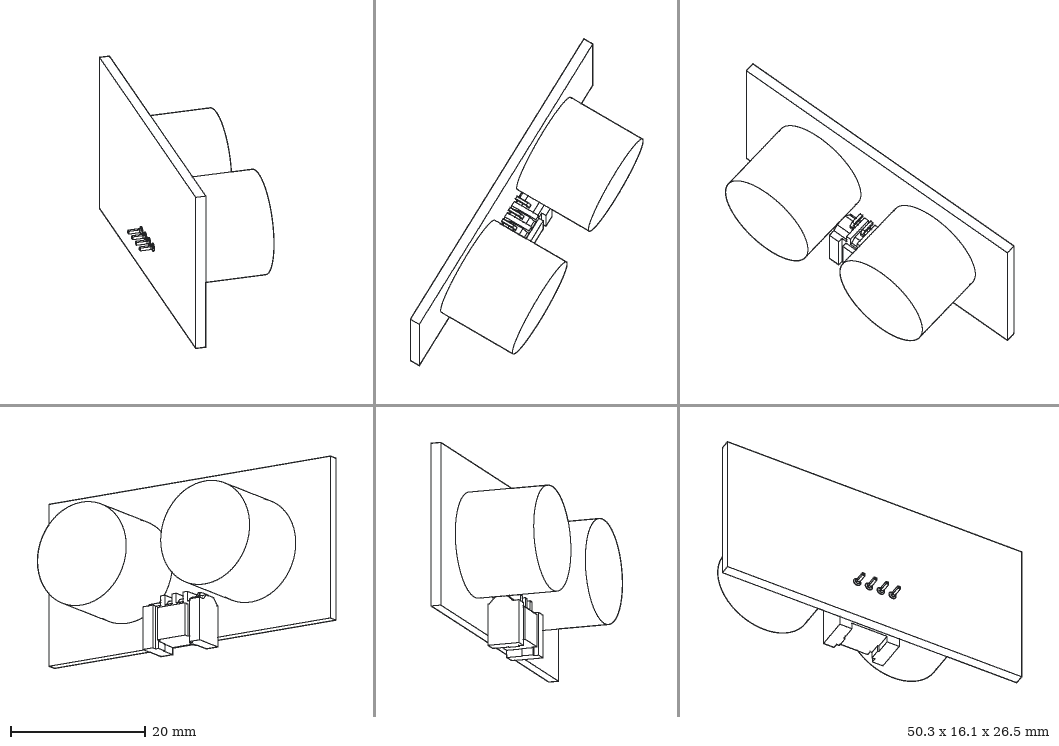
import cadquery as cq

BOARD_LENGTH = 50.3
BOARD_HEIGHT = 25.0
BOARD_THICKNESS = 1.55

CAN_DIAMETER = 15.9
CAN_LENGTH = 12.45
CAN_SPACING = 22.05

HOUSING_WIDTH = 10.15
HOUSING_DEPTH = 5.0
HOUSING_OVERHANG = 1.5
HOUSING_BOTTOM = -BOARD_HEIGHT / 2 - HOUSING_OVERHANG
HOUSING_HEIGHT = 7.35
HOUSING_TOP = HOUSING_BOTTOM + HOUSING_HEIGHT
REAR_LEDGE = 0.2
REAR_SLOPE = 1.0
FRONT_SLOPE = 0.75
FRONT_SLOPE_START = 3.15

RECESS_WIDTH = 6.55
RECESS_DEPTH = 0.75
LATCH_WIDTH = 5.0
LATCH_DROP = 1.25

NOTCH_HEIGHT = 1.1
NOTCH_WIDTH = 5.6
REAR_NOTCH_WIDTH = 6.0

PIN_COUNT = 4
PIN_PITCH = 2.0
PIN_SIZE = 0.45
PIN_Z = -5.95
PIN_TAIL = 2.15
PIN_TIP_CHAMFER = 0.1
PIN_REACH = 2.35
PIN_BEND_CHAMFER = 0.5
PIN_ROOT = 1.0
SOLDER_DIAMETER = 1.2
SOLDER_HEIGHT = 0.45
SOLDER_RIM = 0.1
SOLDER_WAIST = 0.75
SOLDER_WAIST_HEIGHT = 0.2
SOLDER_TIP = 0.5
RIB_WIDTH = 0.75
RIB_RISE = 0.7

PIN_XS = [(i - (PIN_COUNT - 1) / 2) * PIN_PITCH for i in range(PIN_COUNT)]
RIB_XS = [x + PIN_PITCH / 2 for x in PIN_XS[:-1]]


def block(width, y_min, y_max, z_min, z_max, x=0.0):
    """Box centred at x, between the given Y and Z limits."""
    size = (width, y_max - y_min, z_max - z_min)
    return cq.Workplane("XY").box(*size).translate((x, (y_min + y_max) / 2, (z_min + z_max) / 2))


def side_prism(points, width):
    """Prism of a (Y, Z) outline, centred on X."""
    return cq.Workplane("YZ").polyline(points).close().extrude(width / 2, both=True)


def make_sensor_board():
    """Board with both transducer cans and a hole for each pin."""
    board = block(BOARD_LENGTH, -BOARD_THICKNESS, 0, -BOARD_HEIGHT / 2, BOARD_HEIGHT / 2)
    for x in (-CAN_SPACING / 2, CAN_SPACING / 2):
        can = cq.Workplane("XZ", origin=(x, 0, 0)).circle(CAN_DIAMETER / 2).extrude(-CAN_LENGTH)
        board = board.union(can)
    for x in PIN_XS:
        board = board.cut(block(PIN_SIZE, -BOARD_THICKNESS, 0, PIN_Z - PIN_SIZE / 2, PIN_Z + PIN_SIZE / 2, x))
    return board


def make_housing():
    """Connector housing with its recess, latch, notch and ribs."""
    front_ledge_y = FRONT_SLOPE_START + FRONT_SLOPE
    front_ledge_z = HOUSING_TOP - FRONT_SLOPE
    rear_ledge_z = HOUSING_TOP - REAR_SLOPE
    recess_y = HOUSING_DEPTH - RECESS_DEPTH
    notch_top = HOUSING_BOTTOM + NOTCH_HEIGHT
    housing = side_prism(
        [
            (0, HOUSING_BOTTOM),
            (HOUSING_DEPTH, HOUSING_BOTTOM),
            (HOUSING_DEPTH, front_ledge_z),
            (front_ledge_y, front_ledge_z),
            (FRONT_SLOPE_START, HOUSING_TOP),
            (REAR_LEDGE + REAR_SLOPE, HOUSING_TOP),
            (REAR_LEDGE, rear_ledge_z),
            (0, rear_ledge_z),
        ],
        HOUSING_WIDTH,
    )
    housing = housing.cut(block(RECESS_WIDTH, recess_y, HOUSING_DEPTH, HOUSING_BOTTOM, HOUSING_TOP))
    latch_top = HOUSING_TOP - LATCH_DROP
    housing = housing.union(block(LATCH_WIDTH, recess_y, HOUSING_DEPTH, HOUSING_BOTTOM, latch_top))
    housing = housing.cut(block(NOTCH_WIDTH, 0, HOUSING_DEPTH, HOUSING_BOTTOM, notch_top))
    housing = housing.cut(block(REAR_NOTCH_WIDTH, 0, HOUSING_DEPTH / 2, HOUSING_BOTTOM, notch_top))
    for x in RIB_XS:
        housing = housing.union(block(RIB_WIDTH, 0, recess_y, notch_top, HOUSING_TOP + RIB_RISE, x))
    return housing


def make_pin(x):
    """Bent square pin: upright leg in the housing, tail through the board."""
    tail = block(PIN_SIZE, -BOARD_THICKNESS - PIN_TAIL, PIN_REACH,
                 PIN_Z - PIN_SIZE / 2, PIN_Z + PIN_SIZE / 2, x)
    tail = tail.faces("<Y").chamfer(PIN_TIP_CHAMFER)
    leg = block(PIN_SIZE, PIN_REACH - PIN_SIZE, PIN_REACH,
                HOUSING_TOP - PIN_ROOT, PIN_Z + PIN_SIZE / 2, x)
    return tail.union(leg).edges("|X and >Y and >Z").chamfer(PIN_BEND_CHAMFER)


def make_solder_joint(x):
    """Solder joint around a pin on the rear face: a thin rim, a flat cone, then a steep one."""
    joint = (
        cq.Workplane("XZ")
        .lineTo(SOLDER_DIAMETER / 2, 0)
        .lineTo(SOLDER_DIAMETER / 2, SOLDER_RIM)
        .lineTo(SOLDER_WAIST / 2, SOLDER_WAIST_HEIGHT)
        .lineTo(SOLDER_TIP / 2, SOLDER_HEIGHT)
        .lineTo(0, SOLDER_HEIGHT)
        .close()
        .revolve(360, (0, 0, 0), (0, 1, 0))
    )
    return joint.rotate((0, 0, 0), (1, 0, 0), 90).translate((x, -BOARD_THICKNESS, PIN_Z))


def make_connector():
    """Housing with its pins and their solder joints, as one solid."""
    connector = make_housing()
    for x in PIN_XS:
        connector = connector.union(make_pin(x)).union(make_solder_joint(x))
    return connector


sensor_board = make_sensor_board()
connector = make_connector()

result = cq.Compound.makeCompound([sensor_board.solids().val(), connector.solids().val()])